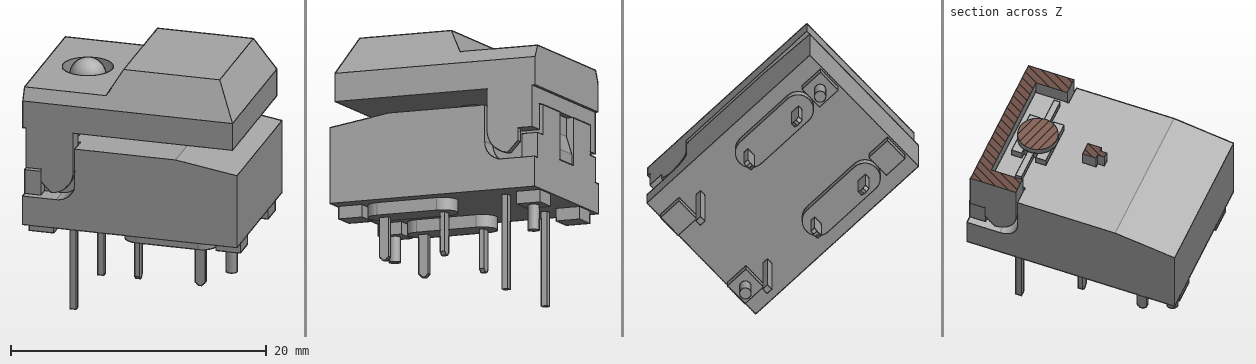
import cadquery as cq
import math


housing_length = 17.5
housing_width = 12.4
housing_height = 6.8
slope_start_x = 12.48
slope_end_z = 6.03

leg_gap = 0.08
slot_end_x = 4.26
slot_floor_z = 2.4
slot_corner_radius = 1.5
tongue_half_width = 4.6
stop_length = 1.33
stop_top_z = 4.39
stop_half_width = 5.6

window_width = 2.55
window_floor_z = 3.0
window_slope_low_z = 3.87
window_slope_high_z = 5.32
window_low_depth = 0.12
window_high_depth = 0.58

row_y = 3.8
foot_height = 1.0
foot_side = 2.0
foot_xs = (1.15, 16.35)
rail_width = 2.41
peg_diameter = 0.9
peg_bottom_z = -3.0
terminal_pitch = 5.08
terminal_middle_x = 11.3
rail_middle_x = 11.45
terminal_width = 0.8
terminal_thickness = 0.4
terminal_bottom_z = -4.4
terminal_tip_chamfer = 0.27

lamp_x = 3.5
lamp_top_z = 12.02
dome_diameter = 2.87
flange_diameter = 3.2
flange_bottom_z = 7.4
flange_top_z = 8.32
socket_length = dome_diameter
socket_half_width = 1.91
lead_notch_width = 1.16
lead_notch_inner_y = 1.5
lead_side = 0.5
lead_bottom_z = -7.5

cap_length = 17.1
cap_width = 12.23
cap_bottom_z = 8.1
cap_bevel_z = 10.34
deck_z = 11.34
cap_top_z = 13.3
deck_end_x = 6.64
ridge_start_x = 7.8
bevel_run = 1.48
lamp_hole_diameter = 4.0

leg_start_x = 0.25
leg_end_x = 4.1
leg_step_z = 4.78
hook_start_x = 1.48
hook_bevel_z = 3.76
hook_tip_x = 2.3
hook_radius = 1.87
hook_half_width = stop_half_width
plunger_start_x = 7.47
plunger_side = 1.16
plunger_rib_length = 0.56
plunger_rib_width = 0.5


def box(x_range, y_range, z_range):
    """Box that fills three ranges of X, Y and Z."""
    return (
        cq.Workplane("XY")
        .box(
            x_range[1] - x_range[0],
            y_range[1] - y_range[0],
            z_range[1] - z_range[0],
            centered=False,
        )
        .translate((x_range[0], y_range[0], z_range[0]))
    )


def block(x, y, length, width, z_range):
    """Box centred on a point in plan."""
    return box((x - length / 2, x + length / 2), (y - width / 2, y + width / 2), z_range)


def rod(x, y, diameter, z_range):
    """Upright cylinder."""
    return (
        cq.Workplane("XY", origin=(x, y, z_range[0]))
        .circle(diameter / 2)
        .extrude(z_range[1] - z_range[0])
    )


def across(outline, y_range):
    """Extrude an XZ outline over a range of Y."""
    return outline.extrude(y_range[0] - y_range[1]).translate((0, y_range[0], 0))


def both_sides(shape):
    """A shape together with its mirror image in the middle plane."""
    return shape.union(shape.mirror("XZ"))



def make_housing_shell():
    outline = (
        cq.Workplane("XZ")
        .moveTo(0, 0)
        .lineTo(housing_length, 0)
        .lineTo(housing_length, slope_end_z)
        .lineTo(slope_start_x, housing_height)
        .lineTo(0, housing_height)
        .close()
    )
    return across(outline, (-housing_width / 2, housing_width / 2))


def make_leg_slots():
    outline = (
        cq.Workplane("XZ")
        .moveTo(0, slot_floor_z)
        .lineTo(slot_end_x - slot_corner_radius, slot_floor_z)
        .radiusArc((slot_end_x, slot_floor_z + slot_corner_radius), -slot_corner_radius)
        .lineTo(slot_end_x, housing_height)
        .lineTo(0, housing_height)
        .close()
    )
    slot = across(outline, (tongue_half_width, housing_width / 2))
    stop = box((0, stop_length), (tongue_half_width, stop_half_width), (slot_floor_z, stop_top_z))
    return both_sides(slot.cut(stop))


def make_window():
    outline = (
        cq.Workplane("XZ")
        .moveTo(0, window_floor_z)
        .lineTo(window_low_depth, window_floor_z)
        .lineTo(window_low_depth, window_slope_low_z)
        .lineTo(window_high_depth, window_slope_high_z)
        .lineTo(window_high_depth, housing_height)
        .lineTo(0, housing_height)
        .close()
    )
    return across(outline, (-window_width / 2, window_width / 2))


def make_feet():
    feet = cq.Workplane("XY")
    for x in foot_xs:
        feet = feet.union(block(x, row_y, foot_side, foot_side, (-foot_height, 0)))
    rail = (
        cq.Workplane("XY", origin=(rail_middle_x, row_y, -foot_height))
        .slot2D(terminal_pitch + rail_width, rail_width)
        .extrude(foot_height)
    )
    return both_sides(feet.union(rail))


def make_pegs():
    """Two locating pegs on diagonally opposite feet."""
    peg_z = (peg_bottom_z, -foot_height)
    near_peg = rod(foot_xs[0], row_y, peg_diameter, peg_z)
    far_peg = rod(foot_xs[1], -row_y, peg_diameter, peg_z)
    return near_peg.union(far_peg)


def make_terminals():
    """Flat terminals with chamfered tips; the first of each row stands crosswise."""
    terminal_z = (terminal_bottom_z, -foot_height)
    crosswise = (
        block(terminal_middle_x - terminal_pitch / 2, row_y, terminal_thickness, terminal_width, terminal_z)
        .edges("<Z and |X")
        .chamfer(terminal_tip_chamfer)
    )
    lengthwise = (
        block(terminal_middle_x + terminal_pitch / 2, row_y, terminal_width, terminal_thickness, terminal_z)
        .edges("<Z and |Y")
        .chamfer(terminal_tip_chamfer)
    )
    return both_sides(crosswise.union(lengthwise))


def make_lamp():
    """Domed lamp on a notched socket."""
    dome_center_z = lamp_top_z - dome_diameter / 2
    socket = block(lamp_x, 0, socket_length, 2 * socket_half_width, (housing_height, flange_bottom_z))
    notch = box(
        (lamp_x - lead_notch_width / 2, lamp_x + lead_notch_width / 2),
        (lead_notch_inner_y, socket_half_width),
        (housing_height, flange_bottom_z),
    )
    flange = rod(lamp_x, 0, flange_diameter, (flange_bottom_z, flange_top_z))
    stem = rod(lamp_x, 0, dome_diameter, (flange_top_z, dome_center_z))
    dome = cq.Workplane("XY").sphere(dome_diameter / 2).translate((lamp_x, 0, dome_center_z))
    return socket.cut(both_sides(notch)).union(flange).union(stem).union(dome)


def make_lamp_leads():
    """Square wires that leave the socket sideways and turn down through the housing."""
    lead_top_z = housing_height + lead_side
    run = box(
        (lamp_x - lead_side / 2, lamp_x + lead_side / 2),
        (lead_notch_inner_y, row_y + lead_side / 2),
        (housing_height, lead_top_z),
    )
    drop = block(lamp_x, row_y, lead_side, lead_side, (lead_bottom_z, lead_top_z))
    return both_sides(run.union(drop))


def make_housing():
    shell = make_housing_shell().cut(make_leg_slots()).cut(make_window())
    underside = make_feet().union(make_pegs()).union(make_terminals())
    return shell.union(underside).union(make_lamp()).union(make_lamp_leads())



def make_cap_top():
    """Stepped side outline, trimmed by an end outline that bevels both long sides."""
    side_outline = (
        cq.Workplane("XZ")
        .moveTo(0, cap_bottom_z)
        .lineTo(cap_length, cap_bottom_z)
        .lineTo(cap_length, cap_bevel_z)
        .lineTo(cap_length - bevel_run, cap_top_z)
        .lineTo(ridge_start_x, cap_top_z)
        .lineTo(deck_end_x, deck_z)
        .lineTo(0, deck_z)
        .close()
    )
    half_width = cap_width / 2
    end_outline = (
        cq.Workplane("YZ")
        .moveTo(-half_width, cap_bottom_z)
        .lineTo(half_width, cap_bottom_z)
        .lineTo(half_width, cap_bevel_z)
        .lineTo(half_width - bevel_run, cap_top_z)
        .lineTo(bevel_run - half_width, cap_top_z)
        .lineTo(-half_width, cap_bevel_z)
        .close()
        .extrude(cap_length)
    )
    return across(side_outline, (-half_width, half_width)).intersect(end_outline)


def make_legs():
    """Legs beside the housing tongue, each ending in a thin rounded hook."""
    leg = box(
        (leg_start_x, leg_end_x),
        (tongue_half_width + leg_gap, cap_width / 2),
        (leg_step_z, cap_bottom_z),
    )
    hook_center_x = leg_end_x - hook_radius
    tip_drop = math.sqrt(hook_radius ** 2 - (hook_tip_x - hook_center_x) ** 2)
    hook_outline = (
        cq.Workplane("XZ")
        .moveTo(hook_start_x, cap_bottom_z)
        .lineTo(hook_start_x, hook_bevel_z)
        .lineTo(hook_tip_x, leg_step_z - tip_drop)
        .radiusArc((leg_end_x, leg_step_z), -hook_radius)
        .lineTo(leg_end_x, cap_bottom_z)
        .close()
    )
    hook = across(hook_outline, (hook_half_width, cap_width / 2))
    return both_sides(leg.union(hook))


def make_bridge():
    """Wall above the lamp end of the housing that joins the two legs."""
    return box(
        (leg_start_x, hook_start_x),
        (-cap_width / 2, cap_width / 2),
        (housing_height + leg_gap, cap_bottom_z),
    )


def make_plunger():
    """Ribbed post that rests on the housing."""
    plunger_z = (housing_height, cap_bottom_z)
    post_end_x = plunger_start_x + plunger_side
    post = box((plunger_start_x, post_end_x), (-plunger_side / 2, plunger_side / 2), plunger_z)
    rib = box(
        (post_end_x, post_end_x + plunger_rib_length),
        (-plunger_rib_width / 2, plunger_rib_width / 2),
        plunger_z,
    )
    return post.union(rib)


def make_cap():
    lamp_hole = rod(lamp_x, 0, lamp_hole_diameter, (cap_bottom_z, deck_z))
    top = make_cap_top().cut(lamp_hole)
    return top.union(make_legs()).union(make_bridge()).union(make_plunger())


housing = make_housing()
cap = make_cap()

result = cq.Compound.makeCompound([housing.val(), cap.val()])